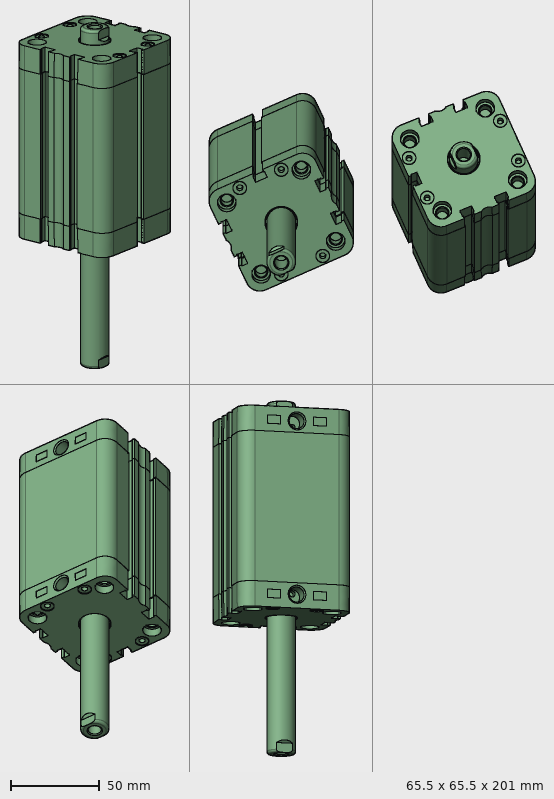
import cadquery as cq
import math

side = 65.5
corner_radius = 8.2
body_length = 115.0
cap_length = 14.5
rod_length = 201.0
rod_top_protrusion = 8.0
tube_length = body_length - 2 * cap_length
half_side = side / 2
half_body = body_length / 2

cap_draft = 0.6

slot_offset = 10.3
slot_mouth_width = 5.5
slot_undercut = 0.6
slot_lip = 1.8
slot_depth = 5.5
cap_slot_widening = 0.6

flute_radius = 5.2
flute_half_width = 3.5

mount_offset = 23.1
mount_bore_diameter = 10.5
mount_bore_depth = 5.0
mount_hole_diameter = 6.6
mount_hole_depth = 12.0
mount_chamfer_diameter = 7.6

recess_x = 28.0
recess_y = 12.9
recess_diameter = 7.6
recess_depth = 0.6
recess_hole_diameter = 3.5
recess_hole_depth = 4.0

port_to_end = 7.8
port_mouth_diameter = 10.5
port_diameter = 8.6
port_depth = 10.0
air_hole_diameter = 3.5
air_hole_offset = 2.0
air_hole_depth = 4.0

panel_offset = 13.5
panel_width = 7.5
panel_height = 4.8
panel_shift = 0.2
panel_depth = 0.2

rod_diameter = 16.0
rod_seat_mouth_diameter = 18.5
rod_seat_diameter = 17.7
rod_seat_depth = 2.0
rod_edge_radius = 1.6
rod_hole_diameter = 7.5
rod_hole_chamfer_diameter = 8.6
rod_hole_depth = 16.0
flat_half_width = 6.53
flat_length = 5.5


def chamfered_hole(mouth_diameter, hole_diameter, depth):
    """Hole along -Z from z = 0 with a 45 degree chamfer at its mouth."""
    chamfer = (mouth_diameter - hole_diameter) / 2
    return (
        cq.Workplane("XZ")
        .polyline([
            (0, 0),
            (mouth_diameter / 2, 0),
            (hole_diameter / 2, -chamfer),
            (hole_diameter / 2, -depth),
            (0, -depth),
        ])
        .close()
        .revolve(360, (0, 0), (0, 1))
    )


def counterbored_hole(bore_diameter, bore_depth, inner_hole):
    """Plain bore along -Z from z = 0, with another hole starting at its floor."""
    bore = cq.Workplane("XY").circle(bore_diameter / 2).extrude(-bore_depth)
    return bore.union(inner_hole.translate((0, 0, -bore_depth)))


def rounded_square(z, length, taper=0):
    return (
        cq.Workplane("XY", origin=(0, 0, z))
        .sketch()
        .rect(side, side)
        .vertices()
        .fillet(corner_radius)
        .finalize()
        .extrude(length, taper=taper)
    )


def make_slot(widening):
    """Undercut slot open toward -Y, centred on x = 0 before its +X side is widened."""
    mouth_width = slot_mouth_width + widening
    mouth = (
        cq.Workplane("XY")
        .rect(mouth_width, 2 * slot_depth)
        .extrude(body_length, both=True)
    )
    inside_depth = slot_depth - slot_lip
    inside = (
        cq.Workplane("XY", origin=(0, slot_lip + inside_depth / 2, 0))
        .rect(mouth_width + 2 * slot_undercut, inside_depth)
        .extrude(body_length, both=True)
    )
    return mouth.union(inside).translate((widening / 2, -half_side, 0))


def cut_side_profile(body, slot_widening):
    """Cut the five slots and the two flutes along the full length of a body."""
    slot = make_slot(slot_widening)
    right_front_slot = slot.translate((slot_offset, 0, 0))
    flute_centre = half_side + math.sqrt(flute_radius**2 - flute_half_width**2)
    flute = (
        cq.Workplane("XY")
        .circle(flute_radius)
        .extrude(body_length, both=True)
        .translate((0, -flute_centre, 0))
    )
    front = (
        flute
        .union(right_front_slot)
        .union(right_front_slot.mirror("YZ"))
    )
    right = slot.rotate((0, 0, 0), (0, 0, 1), 90)
    return body.cut(front).cut(front.mirror("XZ")).cut(right)


def make_tube():
    tube = rounded_square(-tube_length / 2, tube_length)
    tube = cut_side_profile(tube, 0)
    rod_hole = cq.Workplane("XY").circle(rod_diameter / 2).extrude(body_length, both=True)
    return tube.cut(rod_hole)


def make_port():
    """Air port entering from the -X side, with its air hole and label panels."""
    port_z = half_body - port_to_end
    port = chamfered_hole(port_mouth_diameter, port_diameter, port_depth)
    air_hole = (
        cq.Workplane("XY", origin=(air_hole_offset, 0, -port_depth))
        .circle(air_hole_diameter / 2)
        .extrude(-air_hole_depth)
    )
    panels = (
        cq.Workplane("XY")
        .pushPoints([(-panel_shift, panel_offset), (-panel_shift, -panel_offset)])
        .rect(panel_height, panel_width)
        .extrude(-panel_depth)
    )
    return (
        port.union(air_hole)
        .union(panels)
        .rotate((0, 0, 0), (0, 1, 0), -90)
        .mirror("XY")
        .translate((-half_side, 0, port_z))
    )


def make_top_cap():
    cap = rounded_square(half_body - cap_length, cap_length, cap_draft)
    cap = cut_side_profile(cap, cap_slot_widening)
    mount_hole = counterbored_hole(
        mount_bore_diameter,
        mount_bore_depth,
        chamfered_hole(mount_chamfer_diameter, mount_hole_diameter, mount_hole_depth - mount_bore_depth),
    )
    recess = counterbored_hole(
        recess_diameter,
        recess_depth,
        cq.Workplane("XY").circle(recess_hole_diameter / 2).extrude(-recess_hole_depth),
    )
    for x_sign in (-1, 1):
        for y_sign in (-1, 1):
            mount_place = (x_sign * mount_offset, y_sign * mount_offset, half_body)
            recess_place = (x_sign * recess_x, y_sign * recess_y, half_body)
            cap = cap.cut(mount_hole.translate(mount_place))
            cap = cap.cut(recess.translate(recess_place))
    rod_hole = (
        chamfered_hole(rod_seat_mouth_diameter, rod_seat_diameter, rod_seat_depth)
        .union(cq.Workplane("XY").circle(rod_diameter / 2).extrude(-cap_length))
    )
    return cap.cut(rod_hole.translate((0, 0, half_body))).cut(make_port())


def make_end_cutter(end_z):
    """Centre hole and wrench flats for the upper end of the rod, which lies at end_z."""
    cutter = chamfered_hole(rod_hole_chamfer_diameter, rod_hole_diameter, rod_hole_depth)
    slope = rod_diameter / 2 - flat_half_width
    flat = (
        cq.Workplane("XZ")
        .polyline([
            (flat_half_width, 0),
            (flat_half_width, -flat_length),
            (flat_half_width + 2 * slope, -flat_length - 2 * slope),
            (flat_half_width + 2 * slope, 0),
        ])
        .close()
        .extrude(rod_diameter, both=True)
    )
    return cutter.union(flat).union(flat.mirror("YZ")).translate((0, 0, end_z))


def make_rod():
    half_rod = rod_length / 2
    rod = (
        cq.Workplane("XY", origin=(0, 0, -half_rod))
        .circle(rod_diameter / 2)
        .extrude(rod_length)
        .edges("%CIRCLE")
        .fillet(rod_edge_radius)
    )
    end_cutter = make_end_cutter(half_rod)
    rod = rod.cut(end_cutter).cut(end_cutter.mirror("XY"))
    return rod.translate((0, 0, half_body + rod_top_protrusion - half_rod))


tube = make_tube()
top_cap = make_top_cap()
bottom_cap = top_cap.mirror("XY")
rod = make_rod()

result = cq.Compound.makeCompound([tube.val(), top_cap.val(), bottom_cap.val(), rod.val()])